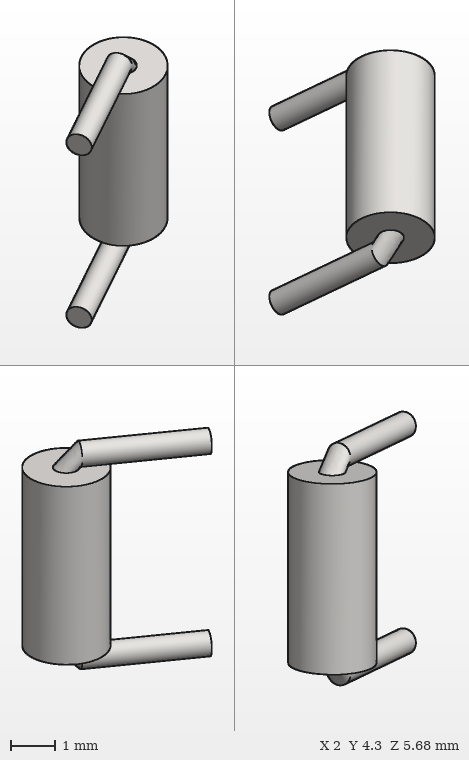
import cadquery as cq
import math

body_diameter = 2.0
wire_diameter = 0.6
overall_height = 5.68
overall_depth = 4.3
wire_clearance = 0.003

wire_radius = wire_diameter / 2
body_height = overall_height - 2 * (wire_diameter + wire_clearance)
wire_axis_z = body_height + wire_clearance + wire_radius
wire_start_y = -wire_radius
wire_end_y = body_diameter / 2 - overall_depth


def make_wire():
    """Straight round wire toward -Y, just clear of the body's top plane."""
    return (
        cq.Workplane("XZ", origin=(0, wire_start_y, wire_axis_z))
        .circle(wire_radius)
        .extrude(wire_start_y - wire_end_y)
    )


def make_elbow():
    """Slanted link at 45 degrees, with a circular end on the body and one on the wire."""
    slant_plane = cq.Plane(origin=(0, wire_start_y, wire_axis_z), xDir=(1, 0, 0), normal=(0, -1, 1))
    slanted_bar = (
        cq.Workplane(slant_plane)
        .ellipse(wire_radius, wire_radius * math.sin(math.radians(45)))
        .extrude(2 * wire_diameter, both=True)
    )
    corner_block = cq.Workplane("XY", origin=(0, wire_start_y, body_height)).box(
        2 * wire_diameter, 2 * wire_diameter, 2 * wire_diameter, centered=(True, False, False)
    )
    return slanted_bar.intersect(corner_block)


body = cq.Workplane("XY").circle(body_diameter / 2).extrude(body_height)
top_lead = make_wire().union(make_elbow())
bottom_lead = top_lead.mirror("XY", (0, 0, body_height / 2))
result = body.union(top_lead).union(bottom_lead)